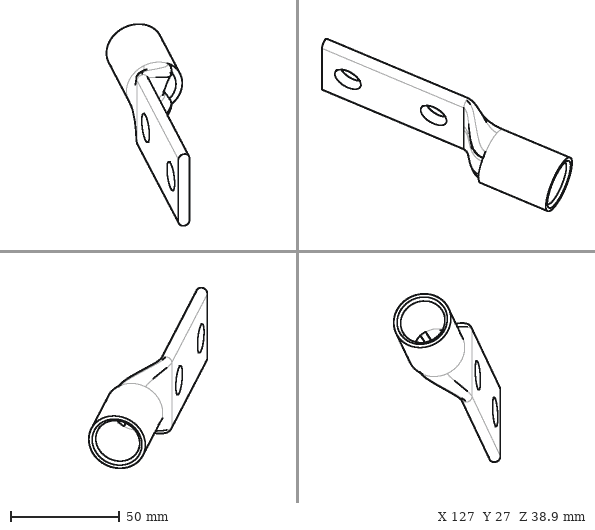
import cadquery as cq
import math


total_length = 127.0
pad_width = 38.9

barrel_radius = 13.5
wall = 3.0
bore_radius = barrel_radius - wall
barrel_length = 34.9
mouth_chamfer = 1.4

pad_start = 53.6
pad_thickness = 5.3
pad_bottom = -barrel_radius
pad_middle = pad_bottom + pad_thickness / 2
pad_flat = pad_width / 2 - pad_thickness / 2

hole_diameter = 13.5
hole_pitch = 44.5
hole_to_end = 13.5

fold_angle = math.radians(31)
fold_height = 3.3
fold_half_width = 1.5
fold_rise = fold_half_width * math.tan(fold_angle / 2)
keel_drop = 5.3
keel_angle = -math.asin(keel_drop / barrel_radius)
slit_half_gap = 0.1
neck_steps = 6
flat_tolerance = 1.27e-06

fold_delays = [1, 1, 1, 1, 1.3, 1.5, 1.8, 1.8]

fold_side_height = fold_height + fold_rise
fold_offset = fold_side_height * math.cos(fold_angle) - fold_half_width * math.sin(fold_angle)
corner_angle = fold_angle + math.asin((fold_offset - wall) / bore_radius)


def polar(radius, angle, center=(0, 0)):
    """Point (z, y) at an angle measured from +Z towards +Y."""
    return (center[0] + radius * math.cos(angle), center[1] + radius * math.sin(angle))


def fold_section():
    """Half outline at the barrel: keel, side arc, corner arc and fold, as (z, y) points."""
    center = polar(bore_radius, corner_angle)
    fold_normal = fold_angle + math.pi / 2
    return [
        (0, -barrel_radius),
        polar(barrel_radius, keel_angle),
        polar(barrel_radius, (keel_angle + corner_angle) / 2),
        polar(barrel_radius, corner_angle),
        polar(wall, (corner_angle + fold_normal) / 2, center),
        polar(wall, fold_normal, center),
        (fold_half_width, fold_side_height),
        (0, fold_height),
    ]


def pad_section():
    """Half outline at the pad: flat with fully rounded edges, in matching (z, y) points."""
    edge_center = (pad_flat, pad_middle)
    edge = [polar(pad_thickness / 2, math.radians(a), edge_center) for a in (-90, -45, 0, 45, 90)]
    pad_top = pad_bottom + pad_thickness
    return [(0, pad_bottom)] + edge + [(fold_half_width, pad_top), (0, pad_top)]


def ease(t):
    """Share from 0 to 1 that is level at both ends."""
    return t * t * (3 - 2 * t)


def blend(start, end, t):
    """Half outline part of the way along the neck; each point eases along a straight path."""
    points = []
    for (z0, y0), (z1, y1), delay in zip(start, end, fold_delays):
        share = ease(t ** delay)
        points.append((z0 + (z1 - z0) * share, y0 + (y1 - y0) * share))
    return points


def crossing_edge(side, middle, other_side):
    """Edge across Z = 0: an arc, or a line where the outline is flat."""
    if abs(side.y - middle.y) < flat_tolerance:
        return cq.Edge.makeLine(side, other_side)
    return cq.Edge.makeThreePointArc(side, middle, other_side)


def section_wire(half, x):
    """Closed wire across X, symmetric about Z = 0."""
    keel, side_start, side_mid, side_end, corner_mid, corner_end, fold_side, apex = [
        cq.Vector(x, y, z) for z, y in half
    ]
    _, side_start_b, side_mid_b, side_end_b, corner_mid_b, corner_end_b, fold_side_b, _ = [
        cq.Vector(x, y, -z) for z, y in half
    ]
    edges = [
        crossing_edge(side_start_b, keel, side_start),
        cq.Edge.makeThreePointArc(side_start, side_mid, side_end),
        cq.Edge.makeThreePointArc(side_end, corner_mid, corner_end),
        cq.Edge.makeLine(corner_end, fold_side),
        crossing_edge(fold_side, apex, fold_side_b),
        cq.Edge.makeLine(fold_side_b, corner_end_b),
        cq.Edge.makeThreePointArc(corner_end_b, corner_mid_b, side_end_b),
        cq.Edge.makeThreePointArc(side_end_b, side_mid_b, side_start_b),
    ]
    return cq.Wire.assembleEdges(edges)


def neck_stations():
    """Share of the way along the neck, and X, of each loft section."""
    shares = [i / neck_steps for i in range(neck_steps + 1)]
    return [(t, barrel_length + (pad_start - barrel_length) * t) for t in shares]


def make_neck():
    """Smooth loft from the folded barrel end to the pad."""
    start = fold_section()
    end = pad_section()
    wires = [section_wire(blend(start, end, t), x) for t, x in neck_stations()]
    return cq.Workplane(cq.Solid.makeLoft(wires))


def make_hollow():
    """Bore squeezed through ellipses to a thin slit, and kept one wall below the fold."""
    along_x = cq.Vector(1, 0, 0)
    along_z = cq.Vector(0, 0, 1)
    wires = []
    for t, x in neck_stations():
        share = ease(t)
        half_width = bore_radius + (pad_flat - bore_radius) * share
        half_height = bore_radius + (slit_half_gap - bore_radius) * share
        center = cq.Vector(x, pad_middle * share, 0)
        wires.append(cq.Wire.makeEllipse(half_width, half_height, center, along_x, along_z))
    squeezed_bore = cq.Workplane(cq.Solid.makeLoft(wires))

    inner_apex = fold_height - wall / math.cos(fold_angle)
    inner_side = inner_apex + fold_rise
    reach = pad_width / 2
    reach_height = inner_side + (reach - fold_half_width) * math.tan(fold_angle)
    below_fold = (
        cq.Workplane("YZ", origin=(barrel_length, 0, 0))
        .moveTo(-barrel_radius, -reach)
        .lineTo(reach_height, -reach)
        .lineTo(inner_side, -fold_half_width)
        .threePointArc((inner_apex, 0), (inner_side, fold_half_width))
        .lineTo(reach_height, reach)
        .lineTo(-barrel_radius, reach)
        .close()
        .extrude(pad_start - barrel_length)
    )
    return squeezed_bore.intersect(below_fold)


barrel = cq.Workplane("YZ").circle(barrel_radius).extrude(barrel_length)
bore = cq.Workplane("YZ").circle(bore_radius).extrude(barrel_length)
mouth_radius = bore_radius + mouth_chamfer
mouth = (
    cq.Workplane("XY")
    .polyline([(0, 0), (0, mouth_radius), (mouth_chamfer, bore_radius), (mouth_chamfer, 0)])
    .close()
    .revolve(360, (0, 0, 0), (1, 0, 0))
)

pad = cq.Workplane(
    cq.Solid.extrudeLinear(
        section_wire(pad_section(), pad_start),
        [],
        cq.Vector(total_length - pad_start, 0, 0),
    )
)
last_hole = total_length - hole_to_end
holes = (
    cq.Workplane("XZ", origin=(0, pad_bottom, 0))
    .pushPoints([(last_hole - hole_pitch, 0), (last_hole, 0)])
    .circle(hole_diameter / 2)
    .extrude(-pad_thickness)
)

result = barrel.union(make_neck()).union(pad).cut(make_hollow()).cut(bore).cut(mouth).cut(holes)